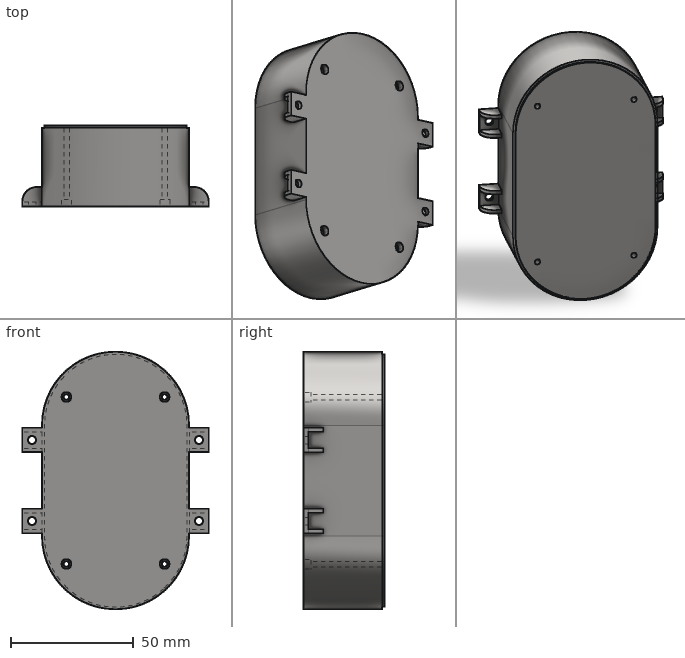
import cadquery as cq

body_width = 60.0
body_height = 105.0
total_depth = 33.0
lip_depth = 1.0
lip_inset = 1.0
body_depth = total_depth - lip_depth

screw_spacing_x = 40.0
screw_spacing_z = 68.0
screw_diameter = 2.2
screw_head_diameter = 4.0
screw_head_depth = 3.0

overall_width = 76.0
ear_length = (overall_width - body_width) / 2
ear_height = 10.0
ear_depth = 8.0
ear_plate_thickness = 2.0
ear_cheek_thickness = 1.6
ear_pocket_height = ear_height - 2 * ear_cheek_thickness
ear_corner_radius = ear_depth - ear_plate_thickness
ear_spacing_z = 33.0
ear_hole_diameter = 3.2
ear_overlap = 1.0


def capsule(width, height, start_y, end_y):
    """Upright capsule prism between two planes of constant y."""
    return (
        cq.Workplane("XZ", origin=(0, start_y, 0))
        .slot2D(height, width, angle=90)
        .extrude(start_y - end_y)
    )


def make_body():
    """Main block with the narrower lip standing on its back face."""
    block = capsule(body_width, body_height, 0, body_depth)
    lip = capsule(
        body_width - 2 * lip_inset,
        body_height - 2 * lip_inset,
        0,
        total_depth,
    )
    return block.union(lip)


def cut_screw_holes(part):
    """Through holes with counterbores in the front face."""
    return (
        part.faces("<Y")
        .workplane(origin=(0, 0, 0))
        .rect(screw_spacing_x, screw_spacing_z, forConstruction=True)
        .vertices()
        .cboreHole(screw_diameter, screw_head_diameter, screw_head_depth)
    )


def make_ear():
    """Ear on the +X side, centred on z = 0: a plate with two rounded cheeks."""
    inner_x = body_width / 2
    outer_x = inner_x + ear_length
    ear = (
        cq.Workplane("XY", origin=(0, 0, -ear_height / 2))
        .moveTo(inner_x - ear_overlap, 0)
        .lineTo(outer_x, 0)
        .lineTo(outer_x, ear_plate_thickness)
        .radiusArc((outer_x - ear_corner_radius, ear_depth), -ear_corner_radius)
        .lineTo(inner_x - ear_overlap, ear_depth)
        .close()
        .extrude(ear_height)
    )
    pocket = cq.Workplane("XY").box(
        ear_length,
        ear_depth - ear_plate_thickness,
        ear_pocket_height,
        centered=(False, False, True),
    ).translate((inner_x, ear_plate_thickness, 0))
    hole = (
        cq.Workplane("XZ", origin=(inner_x + ear_length / 2, 0, 0))
        .circle(ear_hole_diameter / 2)
        .extrude(-ear_plate_thickness)
    )
    return ear.cut(pocket).cut(hole)


def add_ears(part):
    """Two ears on each flat side."""
    right_ear = make_ear()
    left_ear = right_ear.mirror("YZ")
    for z in (-ear_spacing_z / 2, ear_spacing_z / 2):
        for ear in (right_ear, left_ear):
            part = part.union(ear.translate((0, 0, z)))
    return part


result = add_ears(cut_screw_holes(make_body()))